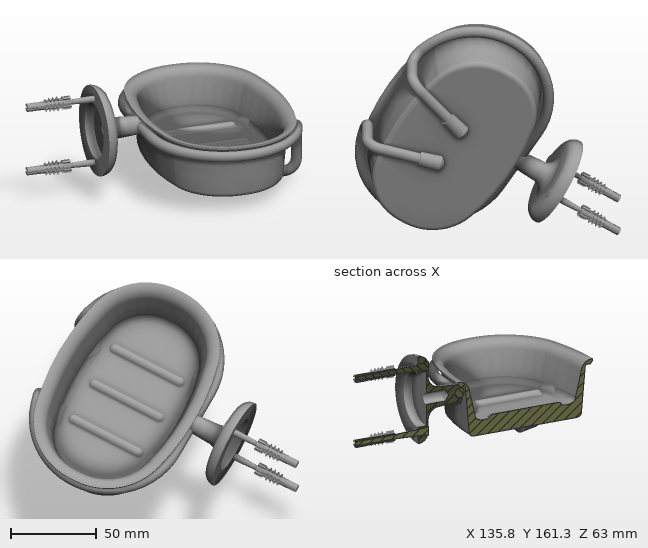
import cadquery as cq
import math


END_CENTRE_X = 26.6
END_CENTRE_Y = 1.8
LONG_ARC_CENTRE_Y = 101.7
LONG_ARC_ANGLE = math.atan2(END_CENTRE_X, END_CENTRE_Y + LONG_ARC_CENTRE_Y)
LONG_ARC_EXTRA_RADIUS = math.hypot(END_CENTRE_X, END_CENTRE_Y + LONG_ARC_CENTRE_Y)

DISH_TOP_Z = 6.5
DISH_BOTTOM_Z = -28.4
DISH_FLOOR_Z = -19.0
CORE_HALF_WIDTH = 42.0
FLOOR_HALF_WIDTH = 51.2
INNER_WALL_FOOT = (54.9, -15.2)
INNER_WALL_HEAD = (58.7, 0.8)
RIM_INNER_EDGE = 65.4
RIM_HALF_WIDTH = 66.5
RIM_EDGE_HEIGHT = 1.3
NECK_HALF_WIDTH = 64.9
NECK_Z = 3.2
OUTER_WALL_HEAD = 61.7
OUTER_WALL_FOOT = 58.7
FOOT_FILLET = 2.7

RIB_SPACING = 25.0
RIB_LENGTH = 51.2
RIB_HALF_WIDTH = 4.0
RIB_CROWN_HALF_WIDTH = 2.7
RIB_FLANK_ANGLE = math.radians(60)

WIRE_RADIUS = 3.2
RING_BEND_RADIUS = 43.7
RING_BEND_CENTRE_X = 21.0
TAIL_ANGLE = math.radians(16.5)
TAIL_LENGTH = 9.2
LEG_BEND_RADIUS = 8.0
LEG_Z = -31.3
LEG_LENGTH = 39.2

CAP_START = 31.5
CAP_START_RADIUS = 4.2
CAP_END_RADIUS = 4.7
CAP_LENGTH = 12.5
CAP_DOME_HEIGHT = 2.5

WALL_Y = -71.7
ROSETTE_RADIUS = 27.0
ROSETTE_THICKNESS = 7.1
ROSETTE_FRONT_Y = WALL_Y + ROSETTE_THICKNESS
ROSETTE_ROUND = 6.6
FLARE_RADIUS = 12.7
STEM_ROOT_Y = -57.3
STEM_ROOT_RADIUS = 6.3
STEM_END_Y = -42.8
STEM_END_RADIUS = 5.3
RECESS_RADIUS = 16.6
RECESS_DEPTH = 5.6
BORE_RADIUS = 3.4
BORE_DEPTH = 12.9
BORE_TIP_HEIGHT = 2.0

SCREW_Z = 20.0
HEAD_RADIUS = 3.2
HEAD_DEPTH = 2.0
HEAD_CROWN_HEIGHT = 0.3
SHANK_RADIUS = 2.0
SHANK_END_Y = -75.9
SCREW_CORE_RADIUS = 1.5
SCREW_POINT_HEIGHT = 1.6
SCREW_TIP_Y = -113.6

PLUG_START_Y = -86.7
PLUG_END_Y = -113.3
COLLAR_RADIUS = 3.9
COLLAR_LENGTH = 4.8
PLUG_BODY_RADIUS = 3.0
BARB_RADIUS = 4.4
BARB_SHRINK = 0.2
BARB_HALF_LENGTH = 1.0
BARB_PITCH = 2.5
BARB_COUNT = 4
FIRST_BARB_Y = -94.4
TAIL_START_Y = -105.7
PLUG_TAIL_RADIUS = 2.5
FLUTE_COUNT = 8
FLUTE_WIDTH = 1.8
FLUTE_FLOOR_RADIUS = 2.3
SLIT_WIDTH = 1.3
SLIT_LENGTH = 5.6


def on_circle(centre, radius, angle):
    return (centre[0] + radius * math.cos(angle), centre[1] + radius * math.sin(angle))


def turned(outline):
    """Spin a closed outline of (radius, y) about the y axis."""
    return outline.close().revolve(360, (0, 0, 0), (0, 1, 0))


def dome_points(rim_radius, height, rim_y):
    """Middle and tip of the arc of a spherical dome about the y axis; a negative height points to -y."""
    dome_radius = (rim_radius**2 + height**2) / (2 * abs(height))
    half_angle = math.asin(rim_radius / dome_radius) / 2
    tip_y = rim_y + height
    drop = math.copysign(dome_radius * (1 - math.cos(half_angle)), height)
    return (dome_radius * math.sin(half_angle), tip_y - drop), (0, tip_y)


def oval(half_width):
    """Closed oval outline in the xy plane, starting at the +x end."""
    radius = half_width - END_CENTRE_X
    apex_y = radius + LONG_ARC_EXTRA_RADIUS - LONG_ARC_CENTRE_Y
    sweep = math.pi / 2 - LONG_ARC_ANGLE
    centre = (END_CENTRE_X, END_CENTRE_Y)
    mid_x, mid_y = on_circle(centre, radius, sweep / 2)
    end_x, end_y = on_circle(centre, radius, sweep)
    return (
        cq.Workplane("XY")
        .moveTo(half_width, -END_CENTRE_Y)
        .lineTo(half_width, END_CENTRE_Y)
        .threePointArc((mid_x, mid_y), (end_x, end_y))
        .threePointArc((0, apex_y), (-end_x, end_y))
        .threePointArc((-mid_x, mid_y), (-half_width, END_CENTRE_Y))
        .lineTo(-half_width, -END_CENTRE_Y)
        .threePointArc((-mid_x, -mid_y), (-end_x, -end_y))
        .threePointArc((0, -apex_y), (end_x, -end_y))
        .threePointArc((mid_x, -mid_y), (half_width, -END_CENTRE_Y))
        .close()
    )


def make_dish_shell():
    outer_slope = (OUTER_WALL_HEAD - OUTER_WALL_FOOT) / (NECK_Z - DISH_BOTTOM_Z)
    fillet_top = (OUTER_WALL_FOOT + outer_slope * FOOT_FILLET, DISH_BOTTOM_Z + FOOT_FILLET)
    fillet_start = (OUTER_WALL_FOOT - FOOT_FILLET, DISH_BOTTOM_Z)
    section = (
        cq.Workplane("XZ", origin=(0, -END_CENTRE_Y, 0))
        .moveTo(CORE_HALF_WIDTH, DISH_FLOOR_Z)
        .lineTo(FLOOR_HALF_WIDTH, DISH_FLOOR_Z)
        .tangentArcPoint(INNER_WALL_FOOT, relative=False)
        .lineTo(*INNER_WALL_HEAD)
        .tangentArcPoint((RIM_INNER_EDGE, DISH_TOP_Z), relative=False)
        .lineTo(RIM_HALF_WIDTH, DISH_TOP_Z)
        .lineTo(RIM_HALF_WIDTH, DISH_TOP_Z - RIM_EDGE_HEIGHT)
        .lineTo(NECK_HALF_WIDTH, NECK_Z)
        .lineTo(OUTER_WALL_HEAD, NECK_Z)
        .lineTo(*fillet_top)
        .tangentArcPoint(fillet_start, relative=False)
        .lineTo(CORE_HALF_WIDTH, DISH_BOTTOM_Z)
        .close()
    )
    wall = section.sweep(oval(CORE_HALF_WIDTH))
    core = oval(CORE_HALF_WIDTH).extrude(DISH_FLOOR_Z - DISH_BOTTOM_Z).translate((0, 0, DISH_BOTTOM_Z))
    return wall.union(core)


def rib_half_section(y):
    """Right half of a rib's cross section: a concave flare at the floor under a round crown."""
    flare_radius = (RIB_HALF_WIDTH - RIB_CROWN_HALF_WIDTH) / math.sin(RIB_FLANK_ANGLE)
    crown_radius = RIB_CROWN_HALF_WIDTH / math.sin(RIB_FLANK_ANGLE)
    flare_centre = (RIB_HALF_WIDTH, DISH_FLOOR_Z + flare_radius)
    shoulder = on_circle(flare_centre, flare_radius, -math.pi / 2 - RIB_FLANK_ANGLE)
    crown_centre = (0, shoulder[1] - crown_radius * math.cos(RIB_FLANK_ANGLE))
    flare_middle = on_circle(flare_centre, flare_radius, -math.pi / 2 - RIB_FLANK_ANGLE / 2)
    crown_middle = on_circle(crown_centre, crown_radius, math.pi / 2 - RIB_FLANK_ANGLE / 2)
    return (
        cq.Workplane("XZ", origin=(0, y, 0))
        .moveTo(0, DISH_FLOOR_Z)
        .lineTo(RIB_HALF_WIDTH, DISH_FLOOR_Z)
        .threePointArc(flare_middle, shoulder)
        .threePointArc(crown_middle, (0, crown_centre[1] + crown_radius))
        .close()
    )


def make_rib():
    """Rib along y with round ends."""
    end_y = RIB_LENGTH / 2 - RIB_HALF_WIDTH
    half_bar = rib_half_section(end_y).extrude(2 * end_y)
    round_end = rib_half_section(end_y).revolve(360, (0, 0, 0), (0, 1, 0))
    bar = half_bar.union(half_bar.mirror("YZ"))
    return bar.union(round_end).union(round_end.mirror("XZ"))


def bend(corner, direction_in, direction_out, radius):
    """Quarter-circle edge that rounds a right-angled corner of a path."""
    start = corner - direction_in * radius
    end = corner + direction_out * radius
    middle = corner + (direction_out - direction_in) * radius * (1 - math.sqrt(0.5))
    return cq.Edge.makeThreePointArc(start, middle, end)


TAIL_DIRECTION = cq.Vector(-math.cos(TAIL_ANGLE), math.sin(TAIL_ANGLE), 0)
LEG_DIRECTION = cq.Vector(-math.sin(TAIL_ANGLE), -math.cos(TAIL_ANGLE), 0)
RING_BEND_CENTRE = (RING_BEND_CENTRE_X, 0)
RING_END = cq.Vector(*on_circle(RING_BEND_CENTRE, RING_BEND_RADIUS, math.pi / 2 - TAIL_ANGLE))
DROP_TOP = RING_END + TAIL_DIRECTION * TAIL_LENGTH
DROP_BOTTOM = DROP_TOP + cq.Vector(0, 0, LEG_Z)


def make_wire_frame():
    down = cq.Vector(0, 0, -1)
    front_middle = cq.Vector(0, -RING_BEND_RADIUS, 0)
    ring_start = cq.Vector(RING_BEND_CENTRE_X, -RING_BEND_RADIUS, 0)
    ring_side = cq.Vector(RING_BEND_CENTRE_X + RING_BEND_RADIUS, 0, 0)
    upper_bend = bend(DROP_TOP, TAIL_DIRECTION, down, LEG_BEND_RADIUS)
    lower_bend = bend(DROP_BOTTOM, down, LEG_DIRECTION, LEG_BEND_RADIUS)
    path = cq.Wire.assembleEdges([
        cq.Edge.makeLine(front_middle, ring_start),
        cq.Edge.makeThreePointArc(ring_start, ring_side, RING_END),
        cq.Edge.makeLine(RING_END, upper_bend.startPoint()),
        upper_bend,
        cq.Edge.makeLine(upper_bend.endPoint(), lower_bend.startPoint()),
        lower_bend,
        cq.Edge.makeLine(lower_bend.endPoint(), DROP_BOTTOM + LEG_DIRECTION * LEG_LENGTH),
    ])
    half = cq.Workplane("YZ", origin=front_middle.toTuple()).circle(WIRE_RADIUS).sweep(path)
    return half.union(half.mirror("YZ"))


def make_cap(wire_frame, side):
    """Tapered cap with a domed end on one leg; side is 1 for the right leg, -1 for the left."""
    cap_end = CAP_START + CAP_LENGTH
    dome_middle, dome_tip = dome_points(CAP_END_RADIUS, -CAP_DOME_HEIGHT, -cap_end)
    cap = turned(
        cq.Workplane("XY")
        .moveTo(0, -CAP_START)
        .lineTo(CAP_START_RADIUS, -CAP_START)
        .lineTo(CAP_END_RADIUS, -cap_end)
        .threePointArc(dome_middle, dome_tip)
    )
    leg_turn = -side * math.degrees(TAIL_ANGLE)
    leg_corner = (side * DROP_BOTTOM.x, DROP_BOTTOM.y, DROP_BOTTOM.z)
    return cap.rotate((0, 0, 0), (0, 0, 1), leg_turn).translate(leg_corner).cut(wire_frame)


def make_dish(wire_frame, caps):
    dish = make_dish_shell()
    rib = make_rib()
    for position in (-1, 0, 1):
        dish = dish.union(rib.translate((position * RIB_SPACING, 0, 0)))
    for seated in [wire_frame, *caps]:
        dish = dish.cut(seated)
    return dish


def make_screw(side):
    """Raised countersunk screw with a tapered core and a pointed tip; side is 1 above, -1 below."""
    crown_middle, crown_top = dome_points(HEAD_RADIUS, HEAD_CROWN_HEIGHT, ROSETTE_FRONT_Y)
    screw = turned(
        cq.Workplane("XY")
        .moveTo(*crown_top)
        .threePointArc(crown_middle, (HEAD_RADIUS, ROSETTE_FRONT_Y))
        .lineTo(SHANK_RADIUS, ROSETTE_FRONT_Y - HEAD_DEPTH)
        .lineTo(SHANK_RADIUS, SHANK_END_Y)
        .lineTo(SCREW_CORE_RADIUS, PLUG_START_Y)
        .lineTo(SCREW_CORE_RADIUS, SCREW_TIP_Y + SCREW_POINT_HEIGHT)
        .lineTo(0, SCREW_TIP_Y)
    )
    return screw.translate((0, 0, side * SCREW_Z))


def make_plug(screw, side):
    """Wall plug with a fluted collar, fluted barbs and a slit tail, bored for its screw."""
    collar_end_y = PLUG_START_Y - COLLAR_LENGTH
    plug = turned(
        cq.Workplane("XY")
        .moveTo(0, PLUG_START_Y)
        .lineTo(COLLAR_RADIUS, PLUG_START_Y)
        .lineTo(COLLAR_RADIUS, collar_end_y)
        .lineTo(PLUG_BODY_RADIUS, collar_end_y)
        .lineTo(PLUG_TAIL_RADIUS, TAIL_START_Y)
        .lineTo(PLUG_TAIL_RADIUS, PLUG_END_Y)
        .lineTo(0, PLUG_END_Y)
    )
    for index in range(BARB_COUNT):
        barb_radius = BARB_RADIUS - index * BARB_SHRINK
        barb_y = FIRST_BARB_Y - index * BARB_PITCH
        barb = turned(
            cq.Workplane("XY")
            .moveTo(0, barb_y + BARB_HALF_LENGTH)
            .lineTo(PLUG_TAIL_RADIUS, barb_y + BARB_HALF_LENGTH)
            .lineTo(barb_radius, barb_y)
            .lineTo(PLUG_TAIL_RADIUS, barb_y - BARB_HALF_LENGTH)
            .lineTo(0, barb_y - BARB_HALF_LENGTH)
        )
        plug = plug.union(barb)

    flute_length = PLUG_START_Y - TAIL_START_Y
    flute = cq.Workplane("XY").box(FLUTE_WIDTH, flute_length, BARB_RADIUS, centered=(True, False, False))
    flute = flute.translate((0, TAIL_START_Y, FLUTE_FLOOR_RADIUS))
    for index in range(FLUTE_COUNT):
        plug = plug.cut(flute.rotate((0, 0, 0), (0, 1, 0), index * 360 / FLUTE_COUNT))

    slit = cq.Workplane("XY").box(2 * PLUG_TAIL_RADIUS, SLIT_LENGTH, SLIT_WIDTH, centered=(True, False, True))
    plug = plug.cut(slit.translate((0, PLUG_END_Y, 0)))
    return plug.translate((0, 0, side * SCREW_Z)).cut(screw)


def make_rosette(neighbours):
    """Wall rosette with its stem, relieved where neighbouring bodies enter it."""
    round_centre = (ROSETTE_RADIUS - ROSETTE_ROUND, ROSETTE_FRONT_Y - ROSETTE_ROUND)
    round_middle = on_circle(round_centre, ROSETTE_ROUND, math.pi / 4)
    flare_size = FLARE_RADIUS - STEM_ROOT_RADIUS
    flare_bulge = 1 - math.sqrt(0.5)
    flare_middle = (
        STEM_ROOT_RADIUS + flare_size * flare_bulge,
        ROSETTE_FRONT_Y + (STEM_ROOT_Y - ROSETTE_FRONT_Y) * flare_bulge,
    )
    rosette = turned(
        cq.Workplane("XY")
        .moveTo(0, WALL_Y)
        .lineTo(ROSETTE_RADIUS, WALL_Y)
        .lineTo(ROSETTE_RADIUS, round_centre[1])
        .threePointArc(round_middle, (round_centre[0], ROSETTE_FRONT_Y))
        .lineTo(FLARE_RADIUS, ROSETTE_FRONT_Y)
        .threePointArc(flare_middle, (STEM_ROOT_RADIUS, STEM_ROOT_Y))
        .lineTo(STEM_END_RADIUS, STEM_END_Y)
        .lineTo(0, STEM_END_Y)
    )
    recess_y = WALL_Y + RECESS_DEPTH
    bore_end_y = recess_y + BORE_DEPTH
    recess_and_bore = turned(
        cq.Workplane("XY")
        .moveTo(0, WALL_Y)
        .lineTo(RECESS_RADIUS, WALL_Y)
        .lineTo(RECESS_RADIUS, recess_y)
        .lineTo(BORE_RADIUS, recess_y)
        .lineTo(BORE_RADIUS, bore_end_y)
        .lineTo(0, bore_end_y + BORE_TIP_HEIGHT)
    )
    rosette = rosette.cut(recess_and_bore)
    for neighbour in neighbours:
        rosette = rosette.cut(neighbour)
    return rosette


wire_frame = make_wire_frame()
caps = [make_cap(wire_frame, side) for side in (1, -1)]
dish = make_dish(wire_frame, caps)
screws = [make_screw(side) for side in (1, -1)]
plugs = [make_plug(screw, side) for screw, side in zip(screws, (1, -1))]
rosette = make_rosette([wire_frame, dish, *screws])

bodies = [dish, wire_frame, rosette, *caps, *screws, *plugs]
result = cq.Compound.makeCompound([body.solids().val() for body in bodies])